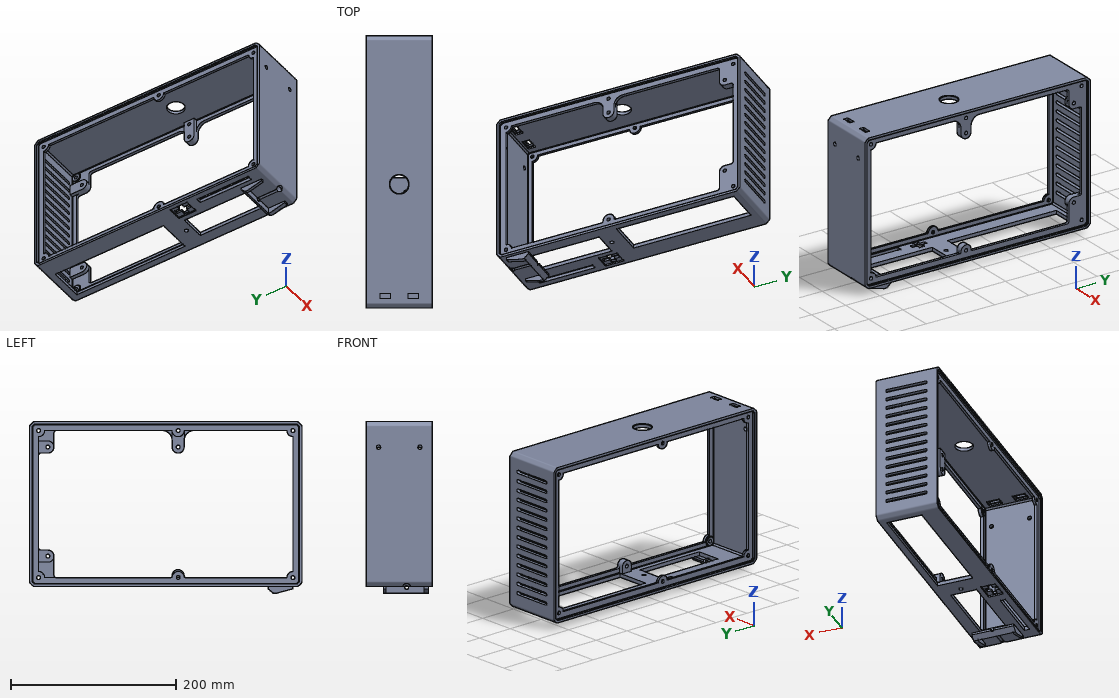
import cadquery as cq
import math

DEPTH = 80.0
LENGTH = 330.0
HEIGHT = 200.0
WALL = 5.0
CORNER_CHAMFER = 5.0
CORNER_BLEND = 3.0
CAVITY_END_CHAMFER = 0.8

SEAT_DEPTH = 3.0
SEAT_INSET = 4.0
SEAT_LEAD_IN = 1.0
NEAR_FLANGE_THICKNESS = 3.0
FAR_FLANGE_THICKNESS = 4.0
FLANGE_INSET = 11.0

SCREW_DIAMETER = 4.4
BOSS_RADIUS = 7.4
MIDDLE_BOSS_FILLET = 2.0
MIDDLE_Y = -15.0
PAD_BASE_RADIUS = 6.2
PAD_HEIGHT = 1.0

LUG_INNER_X = 28.2
LUG_TOP_Z = 69.0
LUG_BOTTOM_Z = -86.7
TOP_LUG_FILLET = 12.0
EAR_Y = 142.7
EAR_TOP_Z = LUG_TOP_Z
EAR_BOTTOM_Z = -63.0
EAR_FILLET = 3.0

VENT_COUNT = 14
VENT_PITCH = 12.0
VENT_HEIGHT = 4.0
VENT_LENGTH = 54.0
VENT_MIDDLE_Z = 0.5

RELIEF_MARGIN = 2.0
RELIEF_DEPTH = 2.0

CABLE_HOLE_DIAMETER = 24.0
CABLE_HOLE_CHAMFER = 0.8
TOP_SLOT_LENGTH = 13.0
TOP_SLOT_WIDTH = 6.0
TOP_SLOT_X = 17.0
TOP_SLOT_Y = -150.0
SIDE_HOLE_DIAMETER = 5.0
SIDE_HOLE_X = 25.0
SIDE_HOLE_Z = 69.0

SERVICE_X = 8.2
LARGE_WINDOW_WIDTH = 46.0
LARGE_WINDOW_Y = (-6.8, 152.0)
SMALL_WINDOW_WIDTH = 34.0
SMALL_WINDOW_Y = (-130.0, -33.5)
FLOOR_HOLE_DIAMETER = 5.0
FLOOR_HOLE_Y = -24.7
LONG_SLOT_X = (-32.0, -25.3)
LONG_SLOT_Y = (-143.0, -68.0)
CROSS_X = -25.0
CROSS_Y = -42.5
CROSS_BAR_WIDTH = 5.0
CROSS_BAR_LENGTH = 21.0
CROSS_BUMP_WIDTH = 15.0
CROSS_BUMP_LENGTH = 7.0

FOOT_WIDTH = 55.0
FOOT_DROP = 8.12
FOOT_FRONT_Y = -154.0
FOOT_BACK_Y = -124.0
FOOT_EDGE_DROP = 2.7
FOOT_TOE_Y = -134.0
FOOT_HEEL_Y = -130.0
POCKET_X = (-15.8, 30.2)
POCKET_BACK_Y = -130.0

FOOT_SCREW_X = 9.0
FOOT_SCREW_Z = -101.0
FOOT_SCREW_DIAMETER = 4.4
HEAD_BORE_DIAMETER = 9.8
HEAD_BORE_DEPTH = 4.0
HEAD_CONE_LENGTH = 4.0

SEAT_X = DEPTH / 2 - SEAT_DEPTH
NEAR_FLANGE_X = -SEAT_X + NEAR_FLANGE_THICKNESS
FAR_FLANGE_X = SEAT_X - FAR_FLANGE_THICKNESS
OPENING_Y = LENGTH / 2 - FLANGE_INSET
OPENING_Z = HEIGHT / 2 - FLANGE_INSET
CAVITY_Y = LENGTH / 2 - WALL
CAVITY_Z = HEIGHT / 2 - WALL
SCREW_RADIUS = SCREW_DIAMETER / 2
CORNER_SCREWS = [(side_y * OPENING_Y, side_z * OPENING_Z) for side_y in (-1, 1) for side_z in (-1, 1)]
TOP_SCREW = (MIDDLE_Y, OPENING_Z)
BOTTOM_SCREW = (MIDDLE_Y, -OPENING_Z)
LUG_SCREWS = [(MIDDLE_Y, LUG_TOP_Z), (MIDDLE_Y, LUG_BOTTOM_Z), (EAR_Y, EAR_TOP_Z), (EAR_Y, EAR_BOTTOM_Z)]


def centred(middle, size):
    """Limits of a span of the given size around its middle."""
    return (middle - size / 2, middle + size / 2)


def block(x_range, y_range, z_range):
    """Box between two limits on each axis, given in either order."""
    lows = [min(limits) for limits in (x_range, y_range, z_range)]
    sizes = [max(limits) - min(limits) for limits in (x_range, y_range, z_range)]
    return cq.Workplane("XY").box(*sizes, centered=False).translate(tuple(lows))


def facing_x(x):
    """Sketch plane at the given X with local axes Y and Z."""
    return cq.Workplane("YZ", origin=(x, 0, 0))


def rod(centre, radius, x_range):
    """Cylinder along X around a (Y, Z) centre."""
    return facing_x(x_range[0]).center(*centre).circle(radius).extrude(x_range[1] - x_range[0])


def shell_prism(inset, x_range):
    """Prism along X with the shell outline, corner chamfers included, offset inward."""
    chamfer = CORNER_CHAMFER - inset * (2 - math.sqrt(2))
    size = (x_range[1] - x_range[0], LENGTH - 2 * inset, HEIGHT - 2 * inset)
    centre_x = (x_range[0] + x_range[1]) / 2
    return cq.Workplane("XY").box(*size).edges("|X").chamfer(chamfer).translate((centre_x, 0, 0))


def fillet_web(corner, side_y, side_z, radius, x_range):
    """Web filling an inside corner at (Y, Z), its concave arc open toward side_y and side_z."""
    y, z = corner
    middle = radius * (1 - math.sqrt(0.5))
    return (
        facing_x(x_range[0])
        .moveTo(y, z)
        .lineTo(y + side_y * radius, z)
        .threePointArc((y + side_y * middle, z + side_z * middle), (y, z + side_z * radius))
        .close()
        .extrude(x_range[1] - x_range[0])
    )


def make_shell():
    """Frame with its cavity and the openings inside both flanges."""
    outside = shell_prism(0, (-DEPTH / 2, DEPTH / 2)).edges("|X").fillet(CORNER_BLEND)
    cavity = shell_prism(WALL, (NEAR_FLANGE_X, FAR_FLANGE_X)).faces("<X or >X").chamfer(CAVITY_END_CHAMFER)
    opening = block((-DEPTH, DEPTH), (-OPENING_Y, OPENING_Y), (-OPENING_Z, OPENING_Z))
    return outside.cut(cavity).cut(opening)


def make_flange_bosses():
    """Rounded bosses around the lid screws at the corners and at the middle of the long sides."""
    near = (-SEAT_X, NEAR_FLANGE_X)
    far = (FAR_FLANGE_X, SEAT_X)
    bosses = cq.Workplane("XY")
    for x_range in (near, far):
        for centre in CORNER_SCREWS + [TOP_SCREW, BOTTOM_SCREW]:
            bosses = bosses.add(rod(centre, BOSS_RADIUS, x_range))
    for side in (-1, 1):
        corner = (MIDDLE_Y + side * BOSS_RADIUS, -OPENING_Z)
        bosses = bosses.add(fillet_web(corner, side, 1, MIDDLE_BOSS_FILLET, near))
        bosses = bosses.add(fillet_web(corner, side, 1, MIDDLE_BOSS_FILLET, far))
    return bosses.combine()


def make_corner_pads():
    """Low conical pads around the corner screws of the +X flange."""
    face_x = FAR_FLANGE_X - PAD_HEIGHT
    pads = cq.Workplane("XY")
    for centre in CORNER_SCREWS:
        pads = pads.add(rod(centre, PAD_BASE_RADIUS, (face_x, SEAT_X)).faces("<X").chamfer(PAD_HEIGHT))
    return pads.combine()


def make_lug(hole_z):
    """Round-ended lug from the top wall or the floor to its screw hole."""
    x_range = (LUG_INNER_X, SEAT_X)
    wall_z = math.copysign(CAVITY_Z, hole_z)
    shank = block(x_range, (MIDDLE_Y - BOSS_RADIUS, MIDDLE_Y + BOSS_RADIUS), (hole_z, wall_z))
    return shank.union(rod((MIDDLE_Y, hole_z), BOSS_RADIUS, x_range))


def make_top_lug_webs():
    """Concave webs on both sides of the upper lug."""
    x_range = (FAR_FLANGE_X, SEAT_X)
    left = fillet_web((MIDDLE_Y - BOSS_RADIUS, OPENING_Z), -1, -1, TOP_LUG_FILLET, x_range)
    right = fillet_web((MIDDLE_Y + BOSS_RADIUS, OPENING_Z), 1, -1, TOP_LUG_FILLET, x_range)
    return left.union(right)


def make_ear(hole_z):
    """Ear on the +Y wall with the corner plate behind it."""
    side = math.copysign(1, hole_z)
    edge_y = EAR_Y - BOSS_RADIUS
    end_z = hole_z - side * BOSS_RADIUS
    ear_x = (LUG_INNER_X, SEAT_X)
    plate_x = (FAR_FLANGE_X, SEAT_X)
    ear = block(ear_x, (EAR_Y, CAVITY_Y), (hole_z - BOSS_RADIUS, hole_z + BOSS_RADIUS))
    ear = ear.union(rod((EAR_Y, hole_z), BOSS_RADIUS, ear_x))
    ear = ear.union(block(plate_x, (edge_y, CAVITY_Y), (hole_z, side * CAVITY_Z)))
    ear = ear.union(fillet_web((edge_y, side * OPENING_Z), -1, -side, EAR_FILLET, plate_x))
    return ear.union(fillet_web((OPENING_Y, end_z), -1, -side, EAR_FILLET, plate_x))


def make_foot():
    """Wedge-shaped foot, hollowed from the front between its two sides."""
    floor_z = -HEIGHT / 2
    edge_z = floor_z - FOOT_EDGE_DROP
    tip_z = floor_z - FOOT_DROP
    outline = [
        (FOOT_FRONT_Y, -CAVITY_Z),
        (FOOT_FRONT_Y, edge_z),
        (FOOT_TOE_Y, tip_z),
        (FOOT_HEEL_Y, tip_z),
        (FOOT_BACK_Y, edge_z),
        (FOOT_BACK_Y, -CAVITY_Z),
    ]
    foot = facing_x(SERVICE_X - FOOT_WIDTH / 2).polyline(outline).close().extrude(FOOT_WIDTH)
    return foot.cut(block(POCKET_X, (FOOT_FRONT_Y, POCKET_BACK_Y), (tip_z, floor_z)))


def make_seat():
    """Lid recess at the -X side: straight pocket with a 45 degree lead-in at the rim."""
    pocket = shell_prism(SEAT_INSET, (-DEPTH / 2, -SEAT_X))
    rim = shell_prism(SEAT_INSET - SEAT_LEAD_IN, (-DEPTH / 2 - SEAT_LEAD_IN, -DEPTH / 2 + SEAT_LEAD_IN))
    return pocket.union(rim.faces(">X").chamfer(SEAT_LEAD_IN))


def cut_screw_holes(body):
    """Screw holes in both flanges, the lugs and the ears."""
    for centre in CORNER_SCREWS + [TOP_SCREW]:
        body = body.cut(rod(centre, SCREW_RADIUS, (-SEAT_X, SEAT_X)))
    body = body.cut(rod(BOTTOM_SCREW, SCREW_RADIUS, (-SEAT_X, 0)))
    for centre in LUG_SCREWS:
        body = body.cut(rod(centre, SCREW_RADIUS, (0, SEAT_X)))
    return body


def cut_vents(body):
    """Column of round-ended slots through the +Y wall."""
    lowest_z = VENT_MIDDLE_Z - (VENT_COUNT - 1) / 2 * VENT_PITCH
    rows = [(0, lowest_z + row * VENT_PITCH) for row in range(VENT_COUNT)]
    vents = cq.Workplane("XZ", origin=(0, CAVITY_Y, 0)).pushPoints(rows).slot2D(VENT_LENGTH, VENT_HEIGHT)
    return body.cut(vents.extrude(-WALL))


def top_slots(margin, height):
    """Pair of rectangular cutters from the underside of the top wall, enlarged by a margin all round."""
    centres = [(-TOP_SLOT_X, TOP_SLOT_Y), (TOP_SLOT_X, TOP_SLOT_Y)]
    inside = cq.Workplane("XY", origin=(0, 0, CAVITY_Z)).pushPoints(centres)
    return inside.rect(TOP_SLOT_LENGTH + 2 * margin, TOP_SLOT_WIDTH + 2 * margin).extrude(height)


def cut_top_openings(body):
    """Chamfered cable hole and two slots, thinned around the slots from inside."""
    radius = CABLE_HOLE_DIAMETER / 2
    top = cq.Workplane("XY", origin=(0, MIDDLE_Y, HEIGHT / 2))
    hole = top.circle(radius - CABLE_HOLE_CHAMFER).extrude(-WALL)
    rim = top.circle(radius).extrude(-CABLE_HOLE_CHAMFER, taper=45)
    body = body.cut(hole).cut(rim)
    return body.cut(top_slots(0, WALL)).cut(top_slots(RELIEF_MARGIN, RELIEF_DEPTH))


def cut_side_holes(body):
    """Two round holes in the -Y wall."""
    centres = [(-SIDE_HOLE_X, SIDE_HOLE_Z), (SIDE_HOLE_X, SIDE_HOLE_Z)]
    holes = cq.Workplane("XZ", origin=(0, -CAVITY_Y, 0)).pushPoints(centres).circle(SIDE_HOLE_DIAMETER / 2)
    return body.cut(holes.extrude(WALL))


def cut_floor_openings(body):
    """Windows, slots and a round hole through the floor, thinned from below around the cross."""
    openings = [
        (centred(SERVICE_X, LARGE_WINDOW_WIDTH), LARGE_WINDOW_Y),
        (centred(SERVICE_X, SMALL_WINDOW_WIDTH), SMALL_WINDOW_Y),
        (LONG_SLOT_X, LONG_SLOT_Y),
        (centred(CROSS_X, CROSS_BAR_WIDTH), centred(CROSS_Y, CROSS_BAR_LENGTH)),
        (centred(CROSS_X, CROSS_BUMP_WIDTH), centred(CROSS_Y, CROSS_BUMP_LENGTH)),
    ]
    for x_range, y_range in openings:
        body = body.cut(block(x_range, y_range, (-HEIGHT / 2, -CAVITY_Z)))
    cross_relief = block(
        centred(CROSS_X, CROSS_BUMP_WIDTH + 2 * RELIEF_MARGIN),
        centred(CROSS_Y, CROSS_BAR_LENGTH + 2 * RELIEF_MARGIN),
        (-HEIGHT / 2, -HEIGHT / 2 + RELIEF_DEPTH),
    )
    body = body.cut(cross_relief)
    floor_hole = cq.Workplane("XY", origin=(SERVICE_X, FLOOR_HOLE_Y, -HEIGHT / 2))
    return body.cut(floor_hole.circle(FLOOR_HOLE_DIAMETER / 2).extrude(WALL))


def cut_foot_screw(body):
    """Screw hole with a bore and a cone for the screw head at the -Y wall."""
    front_y = -LENGTH / 2
    cone_y = front_y + HEAD_BORE_DEPTH
    radius = FOOT_SCREW_DIAMETER / 2
    outline = [
        (0, front_y),
        (HEAD_BORE_DIAMETER / 2, front_y),
        (HEAD_BORE_DIAMETER / 2, cone_y),
        (radius, cone_y + HEAD_CONE_LENGTH),
        (radius, FOOT_BACK_Y),
        (0, FOOT_BACK_Y),
    ]
    sketch = cq.Workplane("XY", origin=(FOOT_SCREW_X, 0, FOOT_SCREW_Z)).polyline(outline).close()
    return body.cut(sketch.revolve(360, (0, 0, 0), (0, 1, 0)))


body = make_shell()
additions = [
    make_flange_bosses(),
    make_corner_pads(),
    make_lug(LUG_TOP_Z),
    make_lug(LUG_BOTTOM_Z),
    make_top_lug_webs(),
    make_ear(EAR_TOP_Z),
    make_ear(EAR_BOTTOM_Z),
    make_foot(),
]
for addition in additions:
    body = body.union(addition)

seat = make_seat()
body = body.cut(seat).cut(seat.mirror("YZ"))
body = cut_screw_holes(body)
body = cut_vents(body)
body = cut_top_openings(body)
body = cut_side_holes(body)
body = cut_floor_openings(body)
result = cut_foot_screw(body)